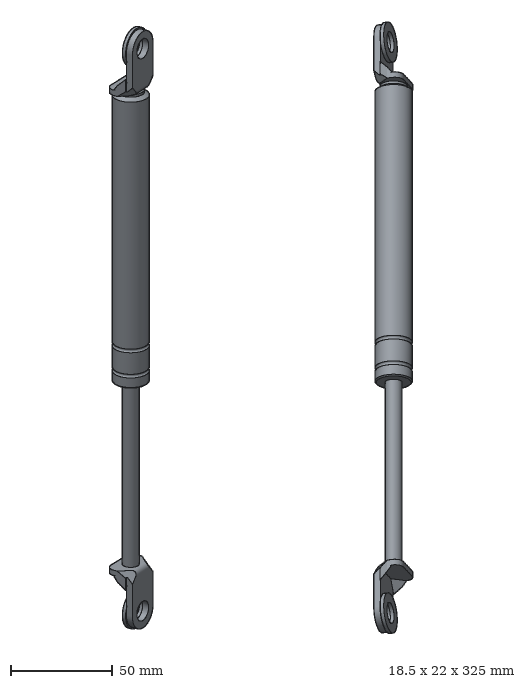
import cadquery as cq

LENGTH = 325.0
END_Z = LENGTH / 2

TUBE_R = 9.25
TUBE_BOTTOM = -29.5
TUBE_SHOULDER = 125.8
SHOULDER_H = 1.5
BOTTOM_CHAMFER = 0.5
NECK_R = 6.8
GROOVE_DEPTH = 0.5
GROOVE_HALF_WIDTH = 1.0
GROOVE_CENTRES = (-9.0, -22.8)

ROD_R = 4.2

RING_R = 10.0
RING_THICK = 2.0
EYE_R = 5.2
EYE_Z = END_Z - RING_R

FOOT_Z = 128.7
FOOT_THICK = 3.0
FOOT_HALF_WIDTH = 11.0
FOOT_LEFT = -7.5
FOOT_CORNER_R = 4.5
FOOT_TAPER_X = -0.5
TONGUE_BACK = 7.0
TONGUE_THICK = 3.5
TONGUE_HALF_WIDTH = 9.25
BEND_R = 3.0
TONGUE_FRONT = TONGUE_BACK - TONGUE_THICK
FOOT_TOP = FOOT_Z + FOOT_THICK

INNER_LEGS = (6.5, 5.2, 8.5)
OUTER_LEGS = (7.8, 7.0, 7.8)



def make_tube():
    """Cylinder with a conical shoulder, a neck and two rolled grooves."""
    neck_start = TUBE_SHOULDER + SHOULDER_H
    profile = (
        cq.Workplane("XZ")
        .moveTo(0, TUBE_BOTTOM)
        .lineTo(TUBE_R - BOTTOM_CHAMFER, TUBE_BOTTOM)
        .lineTo(TUBE_R, TUBE_BOTTOM + BOTTOM_CHAMFER)
    )
    for z in sorted(GROOVE_CENTRES):
        profile = profile.lineTo(TUBE_R, z - GROOVE_HALF_WIDTH).threePointArc(
            (TUBE_R - GROOVE_DEPTH, z), (TUBE_R, z + GROOVE_HALF_WIDTH)
        )
    return (
        profile.lineTo(TUBE_R, TUBE_SHOULDER)
        .lineTo(NECK_R, neck_start)
        .lineTo(NECK_R, FOOT_Z)
        .lineTo(0, FOOT_Z)
        .close()
        .revolve(360, (0, 0, 0), (0, 1, 0))
    )


def make_rod():
    """Plain rod between the tube and the lower bracket."""
    return cq.Workplane("XY").workplane(offset=-FOOT_Z).circle(ROD_R).extrude(TUBE_BOTTOM + FOOT_Z)


def make_wedge(corner, legs, side):
    """Tetrahedron reaching from a square corner toward -X, the mid plane and +Z."""
    leg_x, leg_y, leg_z = legs
    origin = cq.Vector(*corner)
    tips = [
        origin + cq.Vector(-leg_x, 0, 0),
        origin + cq.Vector(0, -side * leg_y, 0),
        origin + cq.Vector(0, 0, leg_z),
    ]
    triangles = [
        (origin, tips[0], tips[1]),
        (origin, tips[1], tips[2]),
        (origin, tips[2], tips[0]),
        (tips[0], tips[1], tips[2]),
    ]
    faces = [cq.Face.makeFromWires(cq.Wire.makePolygon(list(t), close=True)) for t in triangles]
    return cq.Workplane(cq.Solid.makeSolid(cq.Shell.makeShell(faces)).fix())


def make_foot_prism(height):
    """Prism on the foot outline, which narrows to the tongue width at the back."""
    right_side = [
        (FOOT_LEFT, -FOOT_HALF_WIDTH),
        (FOOT_TAPER_X, -FOOT_HALF_WIDTH),
        (TONGUE_BACK, -TONGUE_HALF_WIDTH),
    ]
    left_side = [(x, -y) for x, y in reversed(right_side)]
    return (
        cq.Workplane("XY", origin=(0, 0, FOOT_Z))
        .polyline(right_side + left_side)
        .close()
        .extrude(height)
        .edges("|Z and <X")
        .fillet(FOOT_CORNER_R)
    )


def make_bracket():
    """Upper end bracket; the eye runs along X through the tongue."""
    foot = make_foot_prism(FOOT_THICK)
    tongue = (
        cq.Workplane("YZ", origin=(TONGUE_FRONT, 0, 0))
        .moveTo(-TONGUE_HALF_WIDTH, FOOT_Z)
        .lineTo(TONGUE_HALF_WIDTH, FOOT_Z)
        .lineTo(TONGUE_HALF_WIDTH, EYE_Z)
        .threePointArc((0, EYE_Z + TONGUE_HALF_WIDTH), (-TONGUE_HALF_WIDTH, EYE_Z))
        .close()
        .extrude(TONGUE_THICK)
    )
    bracket = foot.union(tongue).edges("|Y and <Z and >X").fillet(BEND_R)
    foot_column = make_foot_prism(FOOT_THICK + INNER_LEGS[2])
    for side in (-1, 1):
        inner_corner = (TONGUE_FRONT, side * FOOT_HALF_WIDTH, FOOT_TOP)
        outer_corner = (TONGUE_BACK, side * FOOT_HALF_WIDTH, FOOT_Z)
        gusset = make_wedge(inner_corner, INNER_LEGS, side).intersect(foot_column)
        bracket = bracket.union(gusset).cut(make_wedge(outer_corner, OUTER_LEGS, side))
    eye = cq.Workplane("YZ", origin=(TONGUE_FRONT, 0, EYE_Z)).circle(EYE_R).extrude(TONGUE_THICK)
    return bracket.cut(eye)


def make_bushing():
    """Upper eye bushing, seated on the front face of the tongue."""
    return (
        cq.Workplane("YZ", origin=(TONGUE_FRONT, 0, EYE_Z))
        .circle(RING_R)
        .circle(EYE_R)
        .extrude(-RING_THICK)
    )


tube = make_tube()
rod = make_rod()

end_bodies = []
for make_body in (make_bracket, make_bushing):
    upper = make_body()
    end_bodies += [upper.val(), upper.mirror("XY").val()]

result = cq.Compound.makeCompound([tube.val(), rod.val(), *end_bodies])